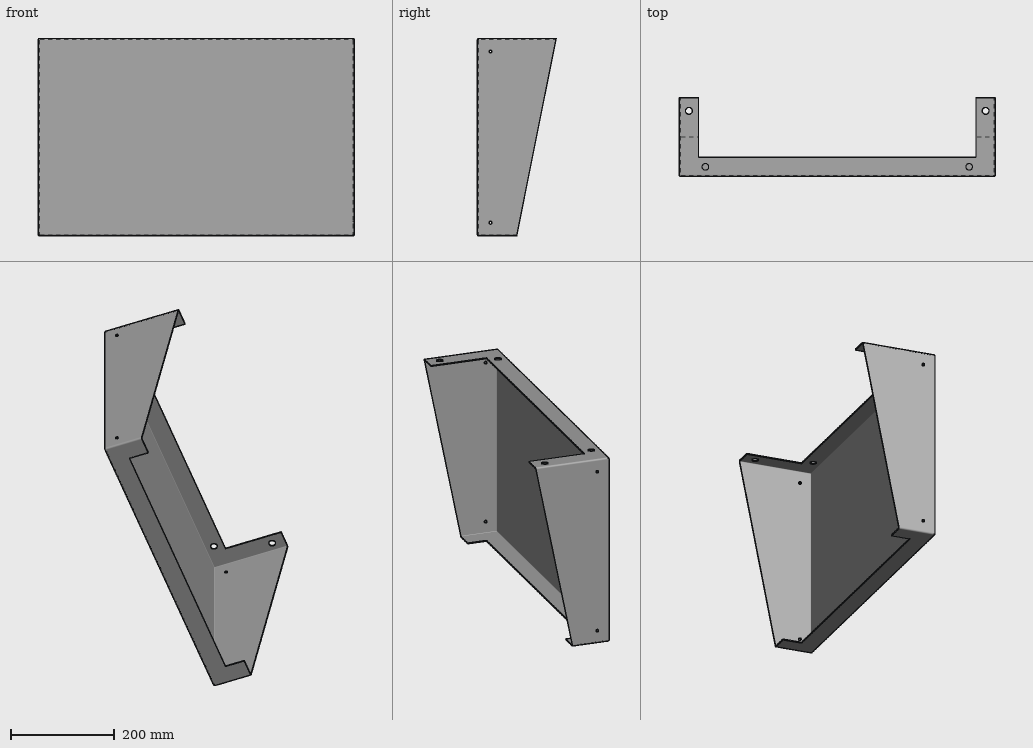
import cadquery as cq

width = 609.5
height = 381.0
depth_top = 152.5
depth_bottom = depth_top / 2

sheet = 2.25
inner_bend_radius = 1.1
outer_bend_radius = inner_bend_radius + sheet

flange_width = 38.0

mount_hole_diameter = 13.0
mount_hole_edge_inset = 19.0
rear_hole_from_back = 25.5
front_hole_from_side = 50.5

side_hole_diameter = 5.1
side_hole_inset = 25.5


def rounded_block(inset, bend_radius):
    """Block inset from the outer faces, overrunning the open back, with rounded bends."""
    length = 2 * depth_top
    return (
        cq.Workplane("XY")
        .box(width - 2 * inset, length, height - 2 * inset, centered=(True, False, True))
        .edges()
        .fillet(bend_radius)
        .translate((0, inset, 0))
    )


def flange_opening():
    """Vertical window that leaves U-shaped flanges at the top and bottom."""
    return (
        cq.Workplane("XY")
        .box(width - 2 * flange_width, 2 * depth_top, height, centered=(True, False, True))
        .translate((0, flange_width, 0))
    )


def side_envelope():
    """Side profile whose sloping back edge runs from the shallow bottom to the deep top."""
    return (
        cq.Workplane("YZ")
        .polyline([
            (0, -height / 2),
            (depth_bottom, -height / 2),
            (depth_top, height / 2),
            (0, height / 2),
        ])
        .close()
        .extrude(width / 2, both=True)
    )


def mount_holes():
    """Four vertical holes that pass through the top flange only."""
    rear_x = width / 2 - mount_hole_edge_inset
    front_x = width / 2 - front_hole_from_side
    rear_y = depth_top - rear_hole_from_back
    centers = []
    for side in (-1, 1):
        centers.append((side * rear_x, rear_y))
        centers.append((side * front_x, mount_hole_edge_inset))
    return (
        cq.Workplane("XY", origin=(0, 0, height / 2 - outer_bend_radius))
        .pushPoints(centers)
        .circle(mount_hole_diameter / 2)
        .extrude(outer_bend_radius)
    )


def side_holes():
    """Upper and lower holes that pass through both side walls."""
    hole_z = height / 2 - side_hole_inset
    return (
        cq.Workplane("YZ")
        .pushPoints([(side_hole_inset, -hole_z), (side_hole_inset, hole_z)])
        .circle(side_hole_diameter / 2)
        .extrude(width / 2, both=True)
    )


folded_shell = rounded_block(0, outer_bend_radius).cut(rounded_block(sheet, inner_bend_radius))
cover = folded_shell.cut(flange_opening()).intersect(side_envelope())
cover = cover.cut(mount_holes()).cut(side_holes())

result = cover.translate((0, -depth_top / 2, 0))